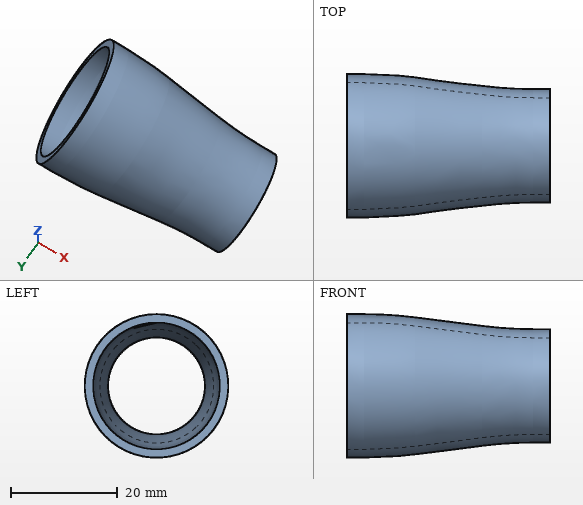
import cadquery as cq
import math

length = 38.0
large_radius = 13.45
small_radius = 10.65
wall = 1.6
collar_length = 3.2
arc_length_x = 9.5

large_arc_start = collar_length
large_arc_end = large_arc_start + arc_length_x
small_arc_end = length - collar_length
small_arc_start = small_arc_end - arc_length_x
cone_length = small_arc_start - large_arc_end

radius_change = large_radius - small_radius
half_angle_tangent = 0.0
for _ in range(10):
    cone_term = 2 * cone_length / (1 - half_angle_tangent**2)
    half_angle_tangent = radius_change / (2 * arc_length_x + cone_term)
cone_angle = 2 * math.atan(half_angle_tangent)

arc_radius = arc_length_x / math.sin(cone_angle)
arc_drop = arc_radius * (1 - math.cos(cone_angle))
arc_mid_x = arc_radius * math.sin(cone_angle / 2)
arc_mid_drop = arc_radius * (1 - math.cos(cone_angle / 2))


def reducer_body(inset):
    """Solid of revolution with the reducer profile moved inward by inset."""
    large = large_radius - inset
    small = small_radius - inset
    return (
        cq.Workplane("XZ")
        .lineTo(0, large)
        .lineTo(large_arc_start, large)
        .threePointArc(
            (large_arc_start + arc_mid_x, large - arc_mid_drop),
            (large_arc_end, large - arc_drop),
        )
        .lineTo(small_arc_start, small + arc_drop)
        .threePointArc(
            (small_arc_end - arc_mid_x, small + arc_mid_drop),
            (small_arc_end, small),
        )
        .lineTo(length, small)
        .lineTo(length, 0)
        .close()
        .revolve(360, (0, 0, 0), (1, 0, 0))
    )


result = reducer_body(0).cut(reducer_body(wall))